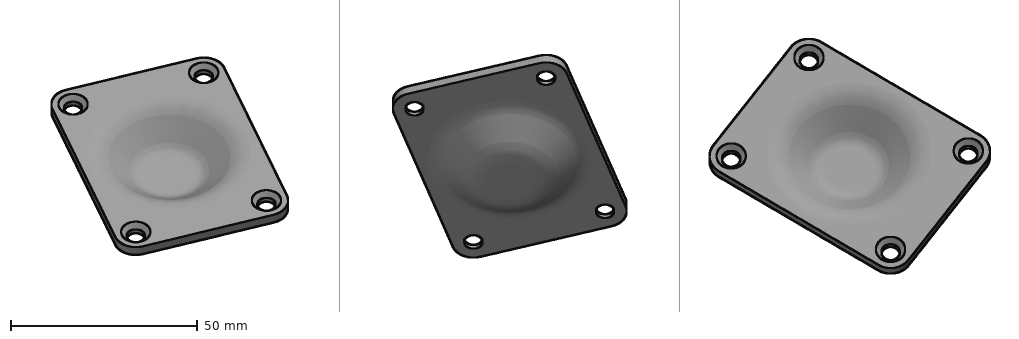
import cadquery as cq
import math

plate_length = 63.4
plate_width = 48.8
thickness = 3.0
corner_radius = 5.85

total_height = 11.15
rim_radius = 21.95
wall_angle = math.radians(40)
inner_bend_radius = 5.8
outer_bend_radius = inner_bend_radius + thickness
dish_depth = total_height - thickness

hole_diameter = 4.95
countersink_diameter = 7.85
countersink_angle = 90


def make_plate():
    plate = cq.Workplane("XY").box(plate_length, plate_width, thickness, centered=(True, True, False))
    return plate.translate((0, 0, -thickness)).edges("|Z").fillet(corner_radius)


def make_dish_solid(top_z, upper_bend, lower_bend):
    """Solid filling a dish below top_z: a convex bend, a cone and a concave bend to a flat floor."""

    def bend_offset(radius, angle):
        return radius * math.sin(angle), radius * (1 - math.cos(angle))

    upper_run, upper_drop = bend_offset(upper_bend, wall_angle)
    upper_mid_run, upper_mid_drop = bend_offset(upper_bend, wall_angle / 2)
    lower_run, lower_rise = bend_offset(lower_bend, wall_angle)
    lower_mid_run, lower_mid_rise = bend_offset(lower_bend, wall_angle / 2)

    floor_z = top_z - dish_depth
    cone_run = (dish_depth - upper_drop - lower_rise) / math.tan(wall_angle)
    floor_radius = rim_radius - upper_run - cone_run - lower_run

    profile = (
        cq.Workplane("XZ")
        .moveTo(0, top_z)
        .lineTo(rim_radius, top_z)
        .threePointArc(
            (rim_radius - upper_mid_run, top_z - upper_mid_drop),
            (rim_radius - upper_run, top_z - upper_drop),
        )
        .lineTo(floor_radius + lower_run, floor_z + lower_rise)
        .threePointArc(
            (floor_radius + lower_mid_run, floor_z + lower_mid_rise),
            (floor_radius, floor_z),
        )
        .lineTo(0, floor_z)
        .close()
    )
    return profile.revolve(360, (0, 0, 0), (0, 1, 0))


def cut_screw_holes(body):
    return (
        body.faces(">Z")
        .workplane(origin=(0, 0, 0))
        .rarray(plate_length - 2 * corner_radius, plate_width - 2 * corner_radius, 2, 2)
        .cskHole(hole_diameter, countersink_diameter, countersink_angle)
    )


dish_outside = make_dish_solid(-thickness, inner_bend_radius, outer_bend_radius)
dish_inside = make_dish_solid(0, outer_bend_radius, inner_bend_radius)
dished_plate = make_plate().union(dish_outside).cut(dish_inside)
result = cut_screw_holes(dished_plate)